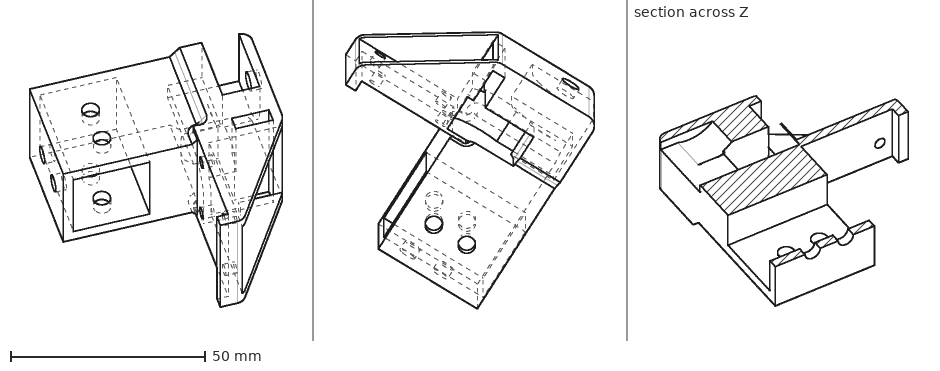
import cadquery as cq
import math

LENGTH = 60.5
DEPTH = 59.0
HEIGHT = 32.5
MID_Z = HEIGHT / 2

ARM_WIDTH = 30.0
ARM_HEIGHT = 27.0
ARM_END_Y = 45.0
STEP = (HEIGHT - ARM_HEIGHT) / 2
TUBE_SIZE = 20.5
TUBE_WALL = 2.75
TUBE_MID_Y = TUBE_WALL + TUBE_SIZE / 2
ARM_HOLE_DIAMETER = 4.5
ARM_HOLE_XS = (11.3, 21.3)

PLATE_FRONT_Y = 36.0
CORNER_RADIUS = 3.0
SLOPE_TOP_X = 30.2
SLOPE_END_Y = 39.2
HOOK_THICKNESS = 3.0
HOOK_DROP = 3.0

FACET = STEP / 2
BEND_X = 23.8
BEND_Y = 37.625
INNER_BEND_RADIUS = FACET
OUTER_BEND_RADIUS = BEND_Y - PLATE_FRONT_Y
OUTER_BEND_X = BEND_X + INNER_BEND_RADIUS + OUTER_BEND_RADIUS
ARM_TOP_Z = MID_Z + ARM_HEIGHT / 2
FACET_MID_Z = ARM_TOP_Z + FACET

IDLER_RADIUS = 10.0
POCKET_WIDTH = 10.0
BACK_WALL = 2.75
REAR_POCKET_Y = DEPTH - BACK_WALL - POCKET_WIDTH
REAR_IDLER_X = 8.5
REAR_IDLER_Z = 23.25
FRONT_POCKET_Y = 37.0
FRONT_IDLER_X = 22.15
FRONT_IDLER_Z = 10.0
FRONT_POCKET_WIDTH = 9.9
BELT_SLOT_HEIGHT = 4.85
BELT_FLOOR_Z = MID_Z - BELT_SLOT_HEIGHT / 2
AXLE_HOLE_DIAMETER = 5.0

SLOT_LEFT_X = 26.8
SLOT_RIGHT_X = 30.4
RECESS_WALL = 3.0

SCREW_DIAMETER = 3.0
SCREW_SPACING = 20.0
SCREW_MID_X = 43.75


def block(x0, x1, y0, y1, z0, z1):
    """Box between two opposite corners."""
    return cq.Workplane("XY").box(x1 - x0, y1 - y0, z1 - z0, centered=False).translate((x0, y0, z0))


def cylinder_along_y(x, z, radius, y0, y1):
    """Round bar from y0 to y1."""
    return cq.Workplane("XZ", origin=(x, y0, z)).circle(radius).extrude(y0 - y1)


def cylinder_along_z(x, y, radius, z0, z1):
    """Round bar from z0 to z1."""
    return cq.Workplane("XY", origin=(x, y, z0)).circle(radius).extrude(z1 - z0)


def prism_along_x(x0, x1, yz_points):
    """Straight bar along X with the given YZ section."""
    return cq.Workplane("YZ", origin=(x0, 0, 0)).polyline(yz_points).close().extrude(x1 - x0)


def quarter_ring(x, y, start_angle, radius_z_points):
    """Quarter turn about a vertical axis; start_angle is measured from +X."""
    section = cq.Workplane("XZ").polyline(radius_z_points).close()
    ring = section.revolve(90, (0, 0, 0), (0, 1, 0))
    return ring.rotate((0, 0, 0), (0, 0, 1), start_angle).translate((x, y, 0))


def make_plate():
    """Full-height plate with a sloped back, an end hook and the S bend in its front wall."""
    diagonal = math.sqrt(0.5)
    plate = (
        cq.Workplane("XY")
        .moveTo(0, BEND_Y + INNER_BEND_RADIUS)
        .lineTo(BEND_X, BEND_Y + INNER_BEND_RADIUS)
        .threePointArc(
            (BEND_X + INNER_BEND_RADIUS * diagonal, BEND_Y + INNER_BEND_RADIUS * diagonal),
            (BEND_X + INNER_BEND_RADIUS, BEND_Y),
        )
        .threePointArc(
            (OUTER_BEND_X - OUTER_BEND_RADIUS * diagonal, BEND_Y - OUTER_BEND_RADIUS * diagonal),
            (OUTER_BEND_X, PLATE_FRONT_Y),
        )
        .lineTo(LENGTH - HOOK_THICKNESS, PLATE_FRONT_Y)
        .lineTo(LENGTH - HOOK_THICKNESS, PLATE_FRONT_Y - HOOK_DROP)
        .lineTo(LENGTH, PLATE_FRONT_Y - HOOK_DROP)
        .lineTo(LENGTH, SLOPE_END_Y)
        .lineTo(SLOPE_TOP_X, DEPTH)
        .lineTo(0, DEPTH)
        .close()
        .extrude(HEIGHT)
    )
    for x, y in ((0, DEPTH), (SLOPE_TOP_X, DEPTH), (LENGTH, SLOPE_END_Y)):
        corner = cq.selectors.NearestToPointSelector((x, y, MID_Z))
        plate = plate.edges("|Z").edges(corner).fillet(CORNER_RADIUS)
    return plate


def lower_facet():
    """Material filling the corner between the arm's top face and the plate's front wall."""
    wall_y = BEND_Y + INNER_BEND_RADIUS
    left = prism_along_x(
        0, BEND_X, [(wall_y - FACET, ARM_TOP_Z), (wall_y, ARM_TOP_Z), (wall_y, FACET_MID_Z)]
    )
    inner_bend = quarter_ring(
        BEND_X, BEND_Y, 0,
        [(0, ARM_TOP_Z), (INNER_BEND_RADIUS, ARM_TOP_Z), (INNER_BEND_RADIUS, FACET_MID_Z)],
    )
    outer_bend = quarter_ring(
        OUTER_BEND_X, BEND_Y, 180,
        [
            (0, ARM_TOP_Z),
            (OUTER_BEND_RADIUS + FACET, ARM_TOP_Z),
            (OUTER_BEND_RADIUS, FACET_MID_Z),
            (0, FACET_MID_Z),
        ],
    )
    right = prism_along_x(
        OUTER_BEND_X, ARM_WIDTH,
        [(PLATE_FRONT_Y - FACET, ARM_TOP_Z), (PLATE_FRONT_Y, ARM_TOP_Z), (PLATE_FRONT_Y, FACET_MID_Z)],
    )
    return [left, inner_bend, outer_bend, right]


def upper_facet():
    """Material removed from the plate's upper front edge; the cone of the inner bend ends it."""
    wall_y = BEND_Y + INNER_BEND_RADIUS
    left = prism_along_x(
        0, BEND_X, [(wall_y, FACET_MID_Z), (wall_y, HEIGHT), (wall_y + FACET, HEIGHT)]
    )
    bend_base = cq.Vector(BEND_X, BEND_Y, FACET_MID_Z)
    cone = cq.Solid.makeCone(INNER_BEND_RADIUS, INNER_BEND_RADIUS + FACET, FACET, bend_base)
    bend = cq.Workplane("XY").add(cone)
    return [left, bend]


def mirrored(solid):
    """Copy of a solid reflected to the underside."""
    return solid.mirror("XY", (0, 0, MID_Z))


def rear_idler_pocket():
    """Round-bottomed pocket open at the top and left, with an axle hole in the back wall."""
    y0 = REAR_POCKET_Y
    y1 = REAR_POCKET_Y + POCKET_WIDTH
    pocket = cylinder_along_y(REAR_IDLER_X, REAR_IDLER_Z, IDLER_RADIUS, y0, y1)
    pocket = pocket.union(block(0, REAR_IDLER_X, y0, y1, BELT_FLOOR_Z, HEIGHT))
    pocket = pocket.union(
        block(REAR_IDLER_X, REAR_IDLER_X + IDLER_RADIUS, y0, y1, REAR_IDLER_Z, HEIGHT)
    )
    axle = cylinder_along_y(REAR_IDLER_X, REAR_IDLER_Z, AXLE_HOLE_DIAMETER / 2, y0, DEPTH)
    return pocket.union(axle)


def front_idler_pocket():
    """Round-topped pocket open at the underside, with a belt slot to the left."""
    y0 = FRONT_POCKET_Y
    y1 = FRONT_POCKET_Y + FRONT_POCKET_WIDTH
    pocket = cylinder_along_y(FRONT_IDLER_X, FRONT_IDLER_Z, IDLER_RADIUS, y0, y1)
    left_x = FRONT_IDLER_X - IDLER_RADIUS
    right_x = FRONT_IDLER_X + IDLER_RADIUS
    pocket = pocket.union(block(left_x, right_x, y0, y1, 0, FRONT_IDLER_Z))
    belt_top_z = BELT_FLOOR_Z + BELT_SLOT_HEIGHT
    return pocket.union(block(0, FRONT_IDLER_X, y0, REAR_POCKET_Y, BELT_FLOOR_Z, belt_top_z))


def screw_recess():
    """Space behind the plate for the screw heads, open through the sloped back."""
    return block(
        SLOT_RIGHT_X, LENGTH, PLATE_FRONT_Y + RECESS_WALL, DEPTH, RECESS_WALL, HEIGHT - RECESS_WALL
    )


def screw_holes():
    """Square pattern of four holes through the plate."""
    offsets = (-SCREW_SPACING / 2, SCREW_SPACING / 2)
    return [
        cylinder_along_y(SCREW_MID_X + dx, MID_Z + dz, SCREW_DIAMETER / 2, PLATE_FRONT_Y, DEPTH)
        for dx in offsets
        for dz in offsets
    ]


def arm_cuts():
    """Square tube socket and the pairs of bolt holes crossing it."""
    half = TUBE_SIZE / 2
    cuts = [block(0, ARM_WIDTH, TUBE_WALL, TUBE_WALL + TUBE_SIZE, MID_Z - half, MID_Z + half)]
    for x in ARM_HOLE_XS:
        cuts.append(cylinder_along_z(x, TUBE_MID_Y, ARM_HOLE_DIAMETER / 2, 0, HEIGHT))
        cuts.append(cylinder_along_y(x, MID_Z, ARM_HOLE_DIAMETER / 2, 0, TUBE_MID_Y))
    return cuts


body = make_plate().union(block(0, ARM_WIDTH, 0, ARM_END_Y, STEP, STEP + ARM_HEIGHT))
vertical_slot = block(
    SLOT_LEFT_X, SLOT_RIGHT_X, REAR_POCKET_Y, REAR_POCKET_Y + POCKET_WIDTH, 0, HEIGHT
)
pockets = [rear_idler_pocket(), front_idler_pocket(), screw_recess(), vertical_slot]

for piece in lower_facet():
    body = body.union(piece).union(mirrored(piece))
for cut in arm_cuts() + screw_holes() + pockets:
    body = body.cut(cut)

for piece in upper_facet():
    body = body.cut(piece, clean=False).cut(mirrored(piece), clean=False)

result = body